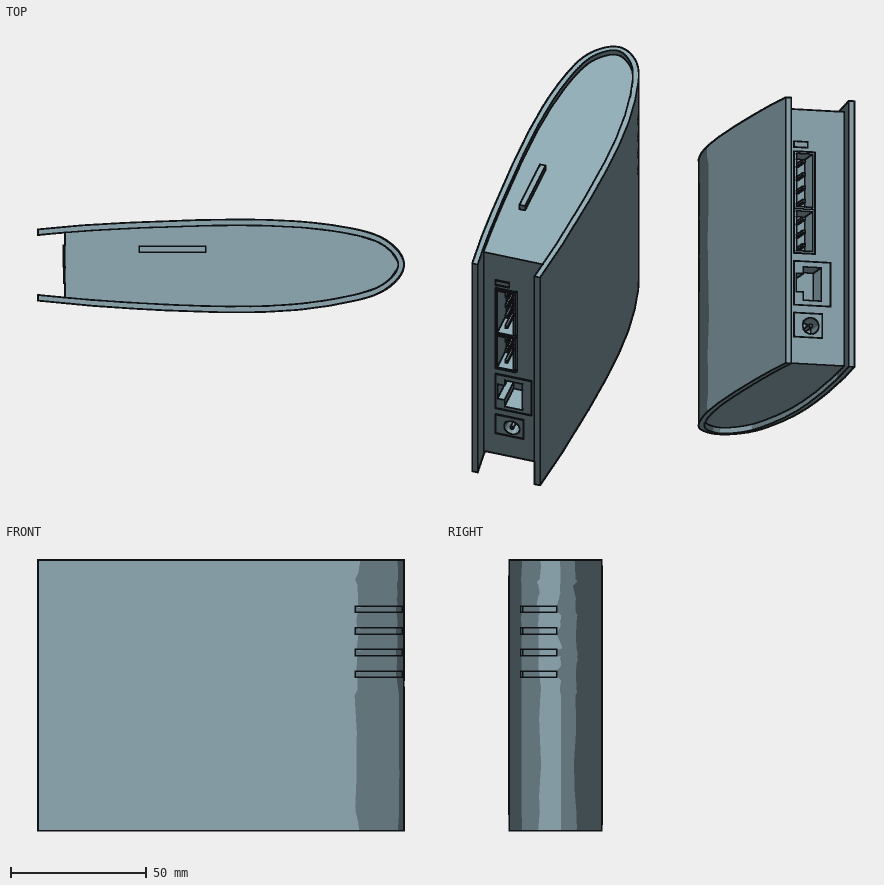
import cadquery as cq

height = 100.1
wall = 2.2
recess = 2.2

half_depth = 17.2
nose_tip = (135.3, 0.5)
outline_samples = 40
back_overrun = 5.4
left_flank = [
    (-back_overrun, 12.8),
    (0, 13.5),
    (35.5, 16.1),
    (71.7, half_depth),
    (97.7, 16.4),
    (118.4, 13.4),
    (128.8, 9.5),
]
right_flank = [
    (-back_overrun, -12.2),
    (0, -12.8),
    (35.5, -15.8),
    (71.7, -half_depth),
    (97.7, -16.1),
    (118.4, -12.6),
    (128.8, -8.5),
]
outline = right_flank + [nose_tip] + left_flank[::-1]

groove_count = 4
groove_pitch = 8.0
groove_height = 2.3
groove_depth = 0.7
groove_start_x = 117.1
lowest_groove_z = 57.9

housing_back_x = 10.0
connector_protrusion = 0.4
connector_face_x = housing_back_x - connector_protrusion
connector_left_y = 7.6
socket_depth = 10.8

bar_start_x = 37.5
bar_length = 24.5
bar_width = 2.2
bar_height = 2.2
bar_left_y = 7.3

button_width = 5.3
button_height = 2.2
button_bottom_z = 83.6

network_width = 13.9
network_height = 16.5
network_bottom_z = 24.2
network_port_y = (-2.8, 4.0)
network_port_height = 12.6
network_port_z = 32.3
latch_left_y = 6.8
latch_z = 32.6
latch_height = 6.9

power_width = 10.8
power_height = 9.0
power_bottom_z = 12.2
power_bore_y = 1.2
power_bore_z = 16.5
power_bore_diameter = 6.1
power_pin_diameter = 1.2

pin_pitch = 5.0
pin_size = 1.0
pin_recess = 1.1
terminal_rim = 0.8
terminal_end = 0.8
terminal_width = 7.8
terminal_depth = 13.5
terminal_protrusion = 0.7
terminal_face_x = housing_back_x - terminal_protrusion
terminal_gap = 0.4
lower_terminal_pins = 3
upper_terminal_pins = 4
lower_terminal_z = 43.7


def terminal_length(pins):
    return pins * pin_pitch + 2 * terminal_end


upper_terminal_z = lower_terminal_z + terminal_length(lower_terminal_pins)
terminals_top_z = upper_terminal_z + terminal_length(upper_terminal_pins)


def box(x_range, y_range, z_range):
    """Box spanning the given (low, high) ranges."""
    lows, highs = zip(x_range, y_range, z_range)
    sizes = [high - low for low, high in zip(lows, highs)]
    return cq.Workplane("XY").box(*sizes, centered=False).translate(lows)


def inset_points(inset):
    """Points along the sleeve outline, each moved inwards square to it."""
    outer = cq.Edge.makeSpline([cq.Vector(*point) for point in outline])
    points = []
    for index in range(outline_samples + 1):
        fraction = index / outline_samples
        tangent = outer.tangentAt(fraction)
        inward = cq.Vector(-tangent.y, tangent.x)
        points.append((outer.positionAt(fraction) + inward * inset).toTuple()[:2])
    return points


def centred_range(middle, size):
    """(low, high) range of a given size around its middle."""
    return (middle - size / 2, middle + size / 2)


def plan_prism(inset, bottom_z, top_z):
    """Sleeve outline moved inwards by inset and extruded between two heights."""
    points = inset_points(inset) if inset else outline
    return (
        cq.Workplane("XY", origin=(0, 0, bottom_z))
        .moveTo(*points[0])
        .spline(points[1:], includeCurrent=True)
        .close()
        .extrude(top_z - bottom_z)
    )


def behind(x):
    """Block that removes everything behind the plane at x."""
    return box((-2 * back_overrun, x), (-height, height), (-height, 2 * height))


def make_sleeve():
    sleeve = plan_prism(0, 0, height).cut(plan_prism(wall, 0, height)).cut(behind(0))
    groove_ring = plan_prism(0, 0, height).cut(plan_prism(groove_depth, 0, height))
    for index in range(groove_count):
        middle_z = lowest_groove_z + index * groove_pitch
        z_range = centred_range(middle_z, groove_height)
        window = box((groove_start_x, nose_tip[0] + wall), (-half_depth - wall, nose_tip[1]), z_range)
        sleeve = sleeve.cut(groove_ring.intersect(window))
    return sleeve


def connector_pad(width, pad_height, bottom_z):
    """Raised connector face on the back of the housing."""
    return box(
        (connector_face_x, housing_back_x),
        (connector_left_y - width, connector_left_y),
        (bottom_z, bottom_z + pad_height),
    )


def socket(face_x, y_range, z_range):
    """Rectangular socket sunk into a connector face at face_x."""
    return box((face_x, face_x + socket_depth), y_range, z_range)


def network_port():
    """Rectangular plug opening with a narrower latch slot on its +Y side."""
    opening = socket(connector_face_x, network_port_y, centred_range(network_port_z, network_port_height))
    latch_y = (network_port_y[0], latch_left_y)
    latch = socket(connector_face_x, latch_y, centred_range(latch_z, latch_height))
    return opening.union(latch)


def power_port():
    """Round bore around a centre pin."""
    return (
        cq.Workplane("YZ", origin=(connector_face_x, power_bore_y, power_bore_z))
        .circle(power_bore_diameter / 2)
        .circle(power_pin_diameter / 2)
        .extrude(socket_depth)
    )


def make_housing():
    top_z = height - recess
    housing = plan_prism(wall, recess, top_z).cut(behind(housing_back_x))
    bar = box(
        (bar_start_x, bar_start_x + bar_length),
        (bar_left_y - bar_width, bar_left_y),
        (top_z, top_z + bar_height),
    )
    terminal_pocket = box(
        (housing_back_x, terminal_face_x + terminal_depth),
        (connector_left_y - terminal_width - terminal_gap, connector_left_y),
        (lower_terminal_z, terminals_top_z),
    )
    return (
        housing.union(bar)
        .union(connector_pad(button_width, button_height, button_bottom_z))
        .union(connector_pad(network_width, network_height, network_bottom_z))
        .union(connector_pad(power_width, power_height, power_bottom_z))
        .cut(network_port())
        .cut(power_port())
        .cut(terminal_pocket)
    )


def make_terminal(pins, bottom_z):
    """Terminal block with one socket and a column of square pins in it."""
    top_z = bottom_z + terminal_length(pins)
    right_y = connector_left_y - terminal_width
    block = box(
        (terminal_face_x, terminal_face_x + terminal_depth),
        (right_y, connector_left_y),
        (bottom_z, top_z),
    )
    block = block.cut(
        socket(
            terminal_face_x,
            (right_y + terminal_rim, connector_left_y - terminal_rim),
            (bottom_z + terminal_rim, top_z - terminal_rim),
        )
    )
    pin_y = connector_left_y - terminal_width / 2
    for index in range(pins):
        pin_z = bottom_z + terminal_end + (index + 0.5) * pin_pitch
        pin = box(
            (terminal_face_x + pin_recess, terminal_face_x + socket_depth),
            centred_range(pin_y, pin_size),
            centred_range(pin_z, pin_size),
        )
        block = block.union(pin)
    return block


sleeve = make_sleeve()
housing = make_housing()
lower_terminal = make_terminal(lower_terminal_pins, lower_terminal_z)
upper_terminal = make_terminal(upper_terminal_pins, upper_terminal_z)

result = cq.Compound.makeCompound(
    [body.solids().val() for body in (sleeve, housing, lower_terminal, upper_terminal)]
)